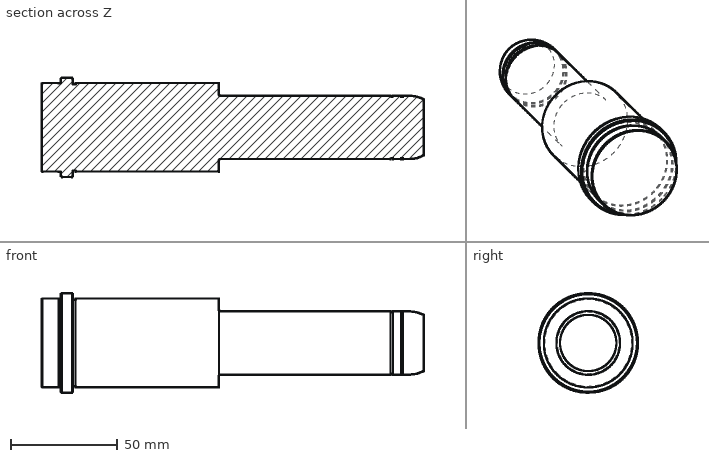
import cadquery as cq
import math

total_length = 180.0

body_diameter = 42.0
collar_diameter = 47.0
pin_diameter = 30.0

collar_start = 9.0
collar_end = 14.8
collar_chamfer = 0.5
front_relief_depth = 0.2
front_relief_width = 1.0
rear_relief_depth = 0.5
rear_relief_width = 1.3
edge_chamfer = 0.4

shoulder_x = 83.5
shoulder_fillet = 0.5

ring_starts = (164.3, 169.2)
ring_width = 1.0

tip_start = 173.0
tip_arc_radius = 15.0

body_radius = body_diameter / 2
pin_radius = pin_diameter / 2
barrel_start = collar_end + rear_relief_width
head_length = collar_start - front_relief_width


def cylinder(start, end, radius):
    """Solid cylinder along X between two stations."""
    return cq.Workplane("YZ", origin=(start, 0, 0)).circle(radius).extrude(end - start)


def make_body():
    """Thick body with a chamfered end and a relief groove on each side of the collar."""
    head = cylinder(0, head_length, body_radius).faces("<X").edges().chamfer(edge_chamfer)
    front_relief = cylinder(head_length, collar_end, body_radius - front_relief_depth)
    rear_relief = cylinder(collar_end, barrel_start, body_radius - rear_relief_depth)
    barrel = cylinder(barrel_start, shoulder_x, body_radius)
    return head.union(front_relief).union(rear_relief).union(barrel)


def make_collar():
    """Locating collar with both outer edges chamfered."""
    collar = cylinder(collar_start, collar_end, collar_diameter / 2)
    return collar.edges().chamfer(collar_chamfer)


def make_pin():
    """Slim pin with ring grooves and a domed tip."""
    arc_centre_r = pin_radius - tip_arc_radius
    sweep = math.asin((total_length - tip_start) / tip_arc_radius)

    def tip_point(angle):
        """Point on the tip arc, with the angle measured from the radial direction."""
        return (
            tip_start + tip_arc_radius * math.sin(angle),
            arc_centre_r + tip_arc_radius * math.cos(angle),
        )

    profile = cq.Workplane("XY").moveTo(shoulder_x, 0).lineTo(shoulder_x, pin_radius)
    for start in ring_starts:
        profile = (
            profile.lineTo(start, pin_radius)
            .threePointArc(
                (start + ring_width / 2, pin_radius - ring_width / 2),
                (start + ring_width, pin_radius),
            )
        )
    profile = (
        profile.lineTo(tip_start, pin_radius)
        .threePointArc(tip_point(sweep / 2), tip_point(sweep))
        .lineTo(total_length, 0)
        .close()
    )
    return profile.revolve(360, (0, 0, 0), (1, 0, 0))


def fillet_shoulder(part):
    """Fillet the inner corner where the pin meets the shoulder face."""
    margin = 0.09
    at_shoulder = cq.selectors.BoxSelector(
        (shoulder_x - margin, -margin, -margin),
        (shoulder_x + margin, margin, margin),
    )
    smallest = cq.selectors.RadiusNthSelector(0)
    return part.edges(at_shoulder).edges(smallest).fillet(shoulder_fillet)


result = fillet_shoulder(make_body().union(make_collar()).union(make_pin()))